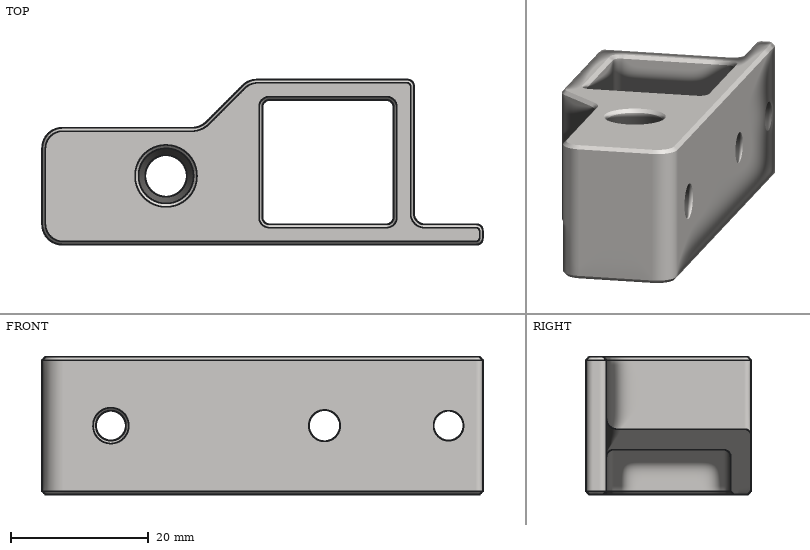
import cadquery as cq

length = 64.0
width = 24.0
height = 20.0
edge_chamfer = 0.5

arm_width = 17.0
wall = 3.0
frame_right = 54.0
ramp_end = 30.0
ramp_start = ramp_end - (width - arm_width)
large_radius = 3.0
small_radius = 1.0
flange_root_radius = 1.5

window_left = 32.0
window_right = frame_right - wall
window_front = wall
window_back = width - wall

relief_start = 44.5

post_x = 18.0
post_y = 10.0
post_diameter = 8.0
post_exit_diameter = 6.0
post_cone_height = (post_diameter - post_exit_diameter) / 2

arm_hole_x = 10.0
arm_hole_diameter = 4.3
arm_hole_mouth_diameter = 5.2
frame_hole_x = 41.0
frame_hole_diameter = 4.5
flange_hole_x = 59.0
flange_hole_diameter = 4.3


def corner(body, x, y, radius):
    """Round the upright edge that stands at (x, y)."""
    upright_edge = cq.selectors.NearestToPointSelector((x, y, height / 2))
    return body.edges("|Z").edges(upright_edge).fillet(radius)


def make_body():
    outline = [
        (0, 0),
        (length, 0),
        (length, wall),
        (frame_right, wall),
        (frame_right, width),
        (ramp_end, width),
        (ramp_start, arm_width),
        (0, arm_width),
    ]
    radii = [
        large_radius,
        small_radius,
        small_radius,
        flange_root_radius,
        small_radius,
        large_radius,
        large_radius,
        large_radius,
    ]
    body = cq.Workplane("XY").polyline(outline).close().extrude(height)
    for (x, y), radius in zip(outline, radii):
        body = corner(body, x, y, radius)
    return body


def make_window():
    size_x = window_right - window_left
    size_y = window_back - window_front
    return (
        cq.Workplane("XY")
        .center((window_left + window_right) / 2, (window_front + window_back) / 2)
        .rect(size_x, size_y)
        .extrude(height)
        .edges("|Z")
        .fillet(small_radius)
    )


def make_relief():
    """Wedge that rises from the bottom face to beyond the right side of the frame."""
    rise = length - relief_start
    profile = [(relief_start, 0), (length, 0), (length, rise)]
    return cq.Workplane("XZ", origin=(0, wall, 0)).polyline(profile).close().extrude(wall - width)


def make_post_hole():
    """Wide bore with a conical floor that narrows to the exit bore; the top rim is flared."""
    wide = post_diameter / 2
    narrow = post_exit_diameter / 2
    profile = [
        (0, 0),
        (narrow, 0),
        (wide, post_cone_height),
        (wide, height - edge_chamfer),
        (wide + edge_chamfer, height),
        (0, height),
    ]
    bore = cq.Workplane("XZ").polyline(profile).close().revolve(360, (0, 0), (0, 1))
    return bore.translate((post_x, post_y, 0))


def make_cross_hole(x, diameter):
    """Round hole along Y through the whole width."""
    return cq.Workplane("XZ").center(x, height / 2).circle(diameter / 2).extrude(-width)


def make_arm_hole_mouth():
    """45 degree flare where the arm hole opens on the front face."""
    depth = (arm_hole_mouth_diameter - arm_hole_diameter) / 2
    cone = cq.Solid.makeCone(
        arm_hole_mouth_diameter / 2,
        arm_hole_diameter / 2,
        depth,
        pnt=cq.Vector(arm_hole_x, 0, height / 2),
        dir=cq.Vector(0, 1, 0),
    )
    return cq.Workplane(obj=cone)


result = make_body().cut(make_window()).faces("<Z or >Z").chamfer(edge_chamfer)
result = result.cut(make_relief())
result = result.cut(make_post_hole())
result = result.cut(make_cross_hole(arm_hole_x, arm_hole_diameter))
result = result.cut(make_cross_hole(frame_hole_x, frame_hole_diameter))
result = result.cut(make_cross_hole(flange_hole_x, flange_hole_diameter))
result = result.cut(make_arm_hole_mouth())